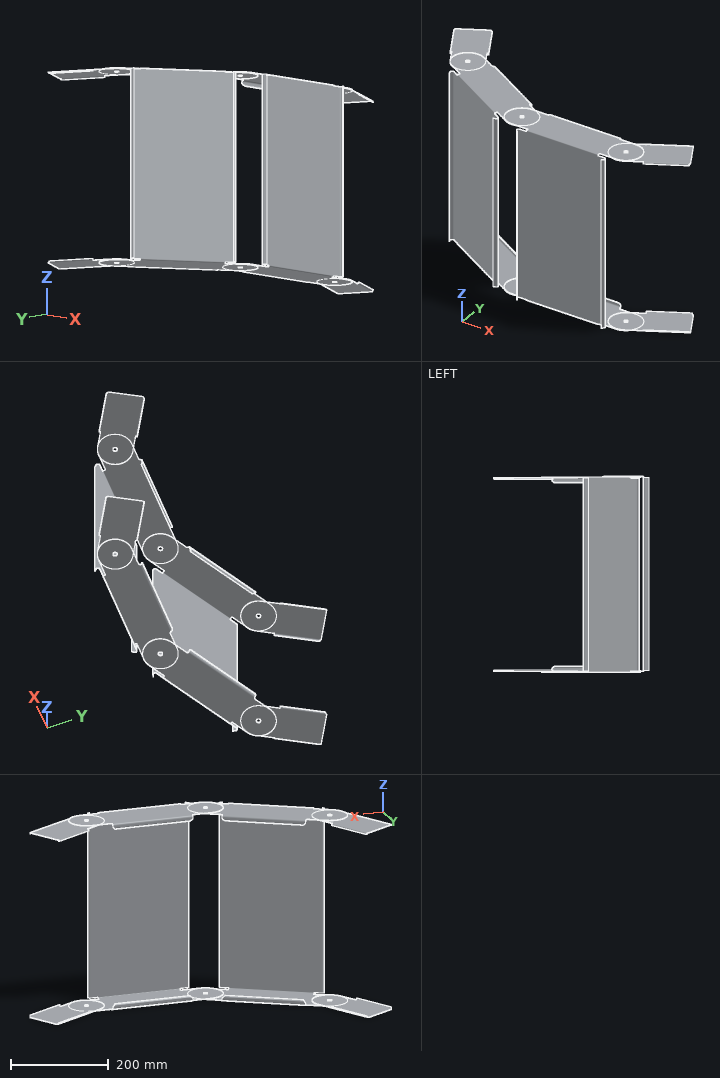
import cadquery as cq
import math

SHEET = 1.25
PITCH = 258.4
BEND_ANGLE = 30.0
HINGE_RADIUS = 36.5
HINGE_HOLE = 9.0

TRAY_WIDTH = 400.0
TRAY_HALF_HEIGHT = 43.2
TRAY_BODY_LENGTH = 178.0
WEB_BEND = 2.5

LIP_LENGTH = 174.0
LIP_BEND = 5.0
LIP_DEPTH = 13.0
LIP_TIP_ANGLE = 45.0
LIP_TIP_DEPTH = 4.0
LIP_TIP_BEND = 1.3
LIP_CHAMFER = 6.0

HOOK_SPAN = 220.0
HOOK_BEND = 5.0
HOOK_ANGLE = 135.0
HOOK_LEG = 5.15
HOOK_INSET = 2.5

END_LENGTH = 135.7
END_HALF_HEIGHT = 40.0
END_LIP_START = 38.5
END_LIP_BEND = 4.0
END_CHAMFER = 4.0


def polar(length, degrees):
    angle = math.radians(degrees)
    return cq.Vector(length * math.cos(angle), length * math.sin(angle))


def flat_point(vector):
    return (vector.x, vector.y)


def bent_sheet(plane, start, heading, moves, depth):
    """Extrude the profile of a bent sheet.

    The path follows one face of the sheet and the sheet lies on its left. A move is a
    straight length, or a (radius, angle) pair for a bend to the left around that radius.
    """
    place = cq.Vector(*start)
    face = [place]
    back = [place + polar(SHEET, heading + 90)]
    bends = []
    for move in moves:
        if isinstance(move, tuple):
            radius, angle = move
            centre = place + polar(radius, heading + 90)
            middle = heading - 90 + angle / 2
            heading += angle
            place = centre + polar(radius, heading - 90)
            bends.append((centre + polar(radius, middle), centre + polar(radius - SHEET, middle)))
        else:
            place = place + polar(move, heading)
            bends.append(None)
        face.append(place)
        back.append(place + polar(SHEET, heading + 90))

    outline = cq.Workplane(plane).moveTo(*flat_point(face[0]))
    for bend, end in zip(bends, face[1:]):
        if bend:
            outline = outline.threePointArc(flat_point(bend[0]), flat_point(end))
        else:
            outline = outline.lineTo(*flat_point(end))
    outline = outline.lineTo(*flat_point(back[-1]))
    for bend, end in zip(reversed(bends), reversed(back[:-1])):
        if bend:
            outline = outline.threePointArc(flat_point(bend[1]), flat_point(end))
        else:
            outline = outline.lineTo(*flat_point(end))
    return outline.close().extrude(depth)


def tray_channel():
    """Web, side plates and lips of a tray, bent from one sheet."""
    tip_drop = LIP_TIP_BEND * math.sin(math.radians(LIP_TIP_ANGLE))
    tip_inset = LIP_TIP_BEND * (1 - math.cos(math.radians(LIP_TIP_ANGLE)))
    tip_length = (LIP_TIP_DEPTH - tip_drop) / math.sin(math.radians(LIP_TIP_ANGLE))
    lip = [tip_length, (LIP_TIP_BEND, LIP_TIP_ANGLE), LIP_DEPTH - LIP_TIP_DEPTH - LIP_BEND, (LIP_BEND, 90)]
    side = [2 * TRAY_HALF_HEIGHT - LIP_BEND - WEB_BEND, (WEB_BEND, 90)]
    web = [TRAY_WIDTH - 2 * WEB_BEND]
    half = lip + side
    tip_y = TRAY_HALF_HEIGHT - tip_inset - tip_length * math.cos(math.radians(LIP_TIP_ANGLE))
    channel = bent_sheet(
        "YZ",
        (tip_y, TRAY_WIDTH - LIP_DEPTH),
        90 - LIP_TIP_ANGLE,
        half + web + half[::-1],
        TRAY_BODY_LENGTH,
    )
    channel = channel.translate(((PITCH - TRAY_BODY_LENGTH) / 2, 0, 0))
    return channel.cut(lip_trim())


def lip_trim():
    """Stock removed at the ends of the lips: a straight cut and a chamfer at each tip."""
    end = (TRAY_BODY_LENGTH - LIP_LENGTH) / 2
    tip = TRAY_WIDTH - LIP_DEPTH
    x = (PITCH - TRAY_BODY_LENGTH) / 2
    corner = (
        cq.Workplane("XZ", origin=(0, TRAY_HALF_HEIGHT, 0))
        .polyline(
            [
                (x, TRAY_WIDTH),
                (x + end, TRAY_WIDTH),
                (x + end, tip + LIP_CHAMFER),
                (x + end + LIP_CHAMFER, tip),
                (x, tip),
            ]
        )
        .close()
        .extrude(LIP_BEND)
    )
    corners = corner.union(corner.mirror("YZ", (PITCH / 2, 0, 0)))
    return corners.union(corners.mirror("XY", (0, 0, TRAY_WIDTH / 2)))


def hooked_panel():
    """Panel in line with the web, with a hook bent outward along each end."""
    hook = [HOOK_LEG, (HOOK_BEND, HOOK_ANGLE)]
    flat = HOOK_SPAN - 2 * HOOK_BEND
    inner = -TRAY_HALF_HEIGHT + SHEET
    right = (PITCH + flat) / 2
    arc_end = cq.Vector(right, inner - HOOK_BEND) + polar(HOOK_BEND, 90 - HOOK_ANGLE)
    start = arc_end - polar(HOOK_LEG, 180 - HOOK_ANGLE)
    panel = bent_sheet(
        "XY",
        flat_point(start),
        180 - HOOK_ANGLE,
        hook + [flat] + hook[::-1],
        TRAY_WIDTH - 2 * HOOK_INSET,
    )
    return panel.translate((0, 0, HOOK_INSET))


def hinge_strap():
    """Side plate stretch that ends in a rounded hinge at both ends."""
    strap = cq.Workplane("XY").center(PITCH / 2, 0)
    return strap.slot2D(PITCH + 2 * HINGE_RADIUS, 2 * HINGE_RADIUS).extrude(SHEET)


def tray():
    body = tray_channel().union(hooked_panel())
    for z in (0, TRAY_WIDTH - SHEET):
        body = body.union(hinge_strap().translate((0, 0, z)))
    holes = cq.Workplane("XY").pushPoints([(0, 0), (PITCH, 0)]).circle(HINGE_HOLE / 2).extrude(TRAY_WIDTH)
    return body.cut(holes)


def end_plate():
    """End plate with its outer face at Z = 0 and its edge lips rising toward +Z."""
    length = END_LENGTH - END_LIP_START
    flat = 2 * (END_HALF_HEIGHT - END_LIP_BEND)
    lip = (END_LIP_BEND, 90)
    plate = bent_sheet("YZ", (-END_HALF_HEIGHT, END_LIP_BEND), -90, [lip, flat, lip], length)
    plate = plate.translate((END_LIP_START, 0, 0))
    neck = (
        cq.Workplane("XY")
        .moveTo(0, -HINGE_RADIUS)
        .lineTo(END_LIP_START, -HINGE_RADIUS)
        .lineTo(END_LIP_START, HINGE_RADIUS)
        .lineTo(0, HINGE_RADIUS)
        .threePointArc((-HINGE_RADIUS, 0), (0, -HINGE_RADIUS))
        .close()
        .extrude(SHEET)
    )
    corners = (
        cq.Workplane("XY")
        .box(END_LENGTH + HINGE_RADIUS, 2 * END_HALF_HEIGHT, END_LIP_BEND, centered=(False, True, False))
        .translate((-HINGE_RADIUS, 0, 0))
        .edges("|Z and >X")
        .chamfer(END_CHAMFER)
    )
    hole = cq.Workplane("XY").circle(HINGE_HOLE / 2).extrude(SHEET)
    return plate.union(neck).intersect(corners).cut(hole)


def end_plates():
    """Bottom and top end plates, both inside the side plates of their tray."""
    bottom = end_plate().translate((0, 0, SHEET))
    return [bottom, bottom.mirror("XY", (0, 0, TRAY_WIDTH / 2))]


def placed(body, angle, hinge):
    return body.rotate((0, 0, 0), (0, 0, 1), angle).translate(hinge)


middle_hinge = cq.Vector(0, 0, SHEET)
right_hinge = cq.Vector(PITCH, 0, SHEET)
left_hinge = polar(PITCH, 180 - BEND_ANGLE)

trays = [placed(tray(), 0, middle_hinge), placed(tray(), -BEND_ANGLE, left_hinge)]
ends = [placed(plate, BEND_ANGLE, right_hinge) for plate in end_plates()]
ends += [placed(plate, 180 - 2 * BEND_ANGLE, left_hinge) for plate in end_plates()]

result = cq.Compound.makeCompound([body.val() for body in trays + ends])